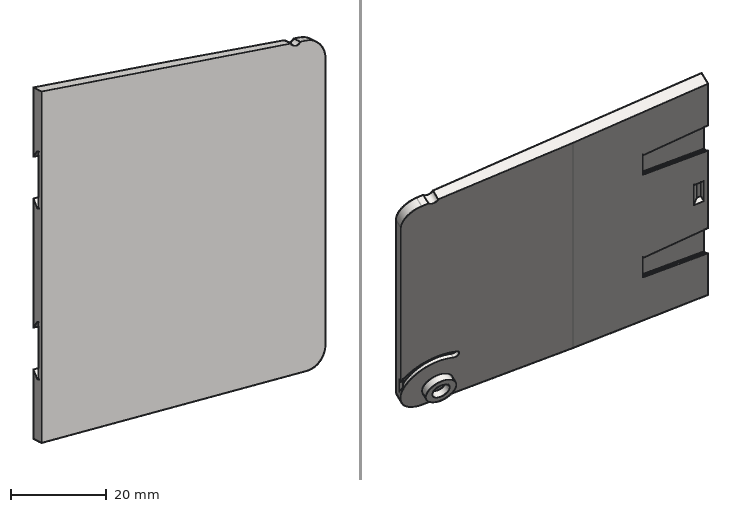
import cadquery as cq
import math

length = 71.4
height = 78.1
thickness = 3.05
overall_thickness = 4.2
edge_draft = 2.0
fold_y = 31.6
face_taper = 1.0
corner_radius = 5.0
overshoot = 0.8

notch_y = 63.9
notch_radius = 1.25
notch_depth = 0.7

boss_y = 62.95
boss_z = -31.6
boss_diameter = 7.1
boss_bore = 4.1
boss_end_x = thickness - overall_thickness

groove_radius = 9.6
groove_width = 1.95
groove_depth = 0.8
groove_end_angle = 115.0
ridge_height = 0.55
ridge_crest_inset = 0.55
ridge_foot_inset = ridge_crest_inset + ridge_height

pocket_offset_z = 19.0
pocket_length = 15.2
pocket_front_width = 9.3
pocket_rear_width = 7.2
pocket_depth = 1.9
undercut_depth = 1.5
undercut_spread = 1.7

latch_front_y = 1.0
latch_floor_end_y = 1.95
latch_rear_y = 3.35
latch_width = 7.4
latch_depth = latch_rear_y - latch_floor_end_y


def make_plate():
    rear_half_height = height / 2 - length * math.tan(math.radians(edge_draft))
    outline = [
        (0, -height / 2),
        (length, -rear_half_height),
        (length, rear_half_height),
        (0, height / 2),
    ]
    plate = cq.Workplane("YZ").polyline(outline).close().extrude(thickness)
    plate = plate.edges("|X and >Y").fillet(corner_radius)
    taper_end_y = length + overshoot
    taper_end_x = (taper_end_y - fold_y) * math.tan(math.radians(face_taper))
    taper = (
        cq.Workplane("XY")
        .polyline([(0, fold_y), (taper_end_x, taper_end_y), (0, taper_end_y)])
        .close()
        .extrude(height / 2, both=True)
    )
    return plate.cut(taper)


def make_notch():
    edge_z = height / 2 - notch_y * math.tan(math.radians(edge_draft))
    center_z = edge_z - notch_depth + notch_radius
    return cq.Workplane("YZ").center(notch_y, center_z).circle(notch_radius).extrude(thickness)


def make_boss():
    ring = cq.Workplane("YZ", origin=(boss_end_x, boss_y, boss_z))
    ring = ring.circle(boss_diameter / 2).circle(boss_bore / 2)
    return ring.extrude(thickness / 2 - boss_end_x)


def make_groove():
    """Arc band with one round end; its floor rises to a ridge near the rear edge."""
    def polar(radius, degrees):
        angle = math.radians(degrees)
        return (boss_y + radius * math.cos(angle), boss_z + radius * math.sin(angle))

    inner = groove_radius - groove_width / 2
    outer = groove_radius + groove_width / 2
    middle_angle = groove_end_angle / 2
    band = (
        cq.Workplane("YZ")
        .moveTo(*polar(outer, 0))
        .threePointArc(polar(outer, middle_angle), polar(outer, groove_end_angle))
        .lineTo(*polar(inner, groove_end_angle))
        .threePointArc(polar(inner, middle_angle), polar(inner, 0))
        .close()
        .extrude(thickness)
    )
    tip = cq.Workplane("YZ").center(*polar(groove_radius, groove_end_angle))
    band = band.union(tip.circle(groove_width / 2).extrude(thickness))

    face_x = (length - fold_y) * math.tan(math.radians(face_taper))
    floor_x = face_x + groove_depth
    depth_profile = (
        cq.Workplane("XY")
        .moveTo(0, fold_y)
        .lineTo(floor_x, fold_y)
        .lineTo(floor_x, length - ridge_foot_inset)
        .lineTo(floor_x - ridge_height, length - ridge_crest_inset)
        .lineTo(floor_x, length)
        .lineTo(0, length)
        .close()
        .extrude(height / 2, both=True)
    )
    return band.intersect(depth_profile)


def make_pocket(center_z):
    def section(y, width):
        surface_half = width / 2
        floor_half = surface_half + undercut_spread
        points = [
            (0, -surface_half),
            (undercut_depth, -floor_half),
            (pocket_depth, -floor_half),
            (pocket_depth, floor_half),
            (undercut_depth, floor_half),
            (0, surface_half),
        ]
        vertices = [cq.Vector(x, y, center_z + z) for x, z in points]
        return cq.Wire.makePolygon(vertices, close=True)

    front = section(0, pocket_front_width)
    rear = section(pocket_length, pocket_rear_width)
    return cq.Workplane(cq.Solid.makeLoft([front, rear], True))


def make_latch_recess():
    profile = [
        (0, latch_front_y),
        (latch_depth, latch_front_y),
        (latch_depth, latch_floor_end_y),
        (0, latch_rear_y),
    ]
    return cq.Workplane("XY").polyline(profile).close().extrude(latch_width / 2, both=True)


result = make_plate().cut(make_notch()).union(make_boss()).cut(make_groove()).cut(make_latch_recess())
for side in (-1, 1):
    result = result.cut(make_pocket(side * pocket_offset_z))